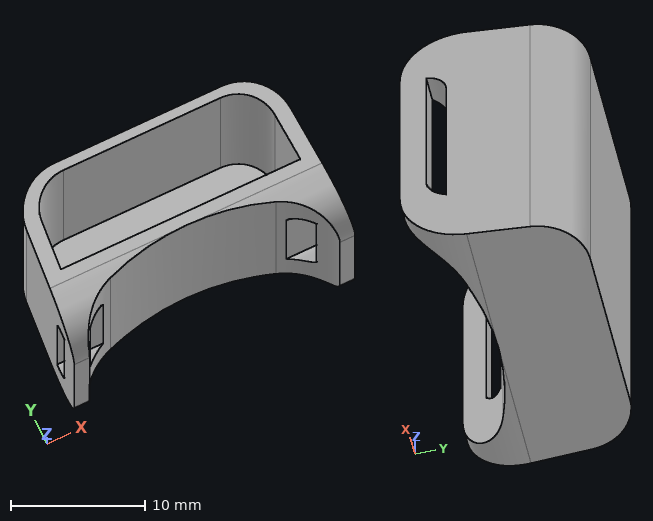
import cadquery as cq
import math

width = 23.1
depth = 13.5
height = 24.0
side_taper = math.tan(math.radians(4.0))
back_corner_radius = 4.0
front_corner_radius = 5.0

back_wall = 0.8
side_wall = 1.3
front_wall = 0.94
floor_thickness = 1.0
pocket_corner_radius = 3.12

arch_rise = front_corner_radius
arch_radius = 20.0
arch_half_span = 6.82
arch_half_opening = 10.3

slot_front = 2.0
slot_width = 1.5
slot_length = 14.02
slot_lower_arc_radius = 2.0


def half_width(y):
    """Half of the outer width at distance y from the front edge."""
    return width / 2 - y * side_taper


def tapered_block(front, back, inset, bottom, corner_radius):
    """Upright block following the tapered sides, with rounded back corners."""
    front_half = half_width(front) - inset
    back_half = half_width(back) - inset
    return (
        cq.Workplane("XY")
        .workplane(offset=bottom)
        .polyline([(-front_half, front), (front_half, front), (back_half, back), (-back_half, back)])
        .close()
        .extrude(height - bottom)
        .edges("|Z and >Y")
        .fillet(corner_radius)
    )


def make_body():
    body = tapered_block(0, depth, 0, 0, back_corner_radius)
    side_profile = (
        cq.Workplane("YZ")
        .rect(2 * depth, height)
        .extrude(width / 2, both=True)
        .translate((0, depth, height / 2))
        .edges("|X and <Y")
        .fillet(front_corner_radius)
    )
    return body.intersect(side_profile)


def make_arch():
    center_y = arch_rise - arch_radius
    join_y = center_y + math.sqrt(arch_radius**2 - arch_half_span**2)
    right_side = (
        cq.Workplane("XY")
        .moveTo(0, arch_rise)
        .radiusArc((arch_half_span, join_y), arch_radius)
        .tangentArcPoint((arch_half_opening, 0), relative=False)
        .lineTo(0, 0)
        .close()
        .extrude(height)
    )
    return right_side.union(right_side.mirror("YZ"))


def make_slots():
    """One straight cut through both legs, with an arc across each end."""
    back = slot_front + slot_width
    bottom = (height - slot_length) / 2
    top = bottom + slot_length
    bend = slot_width
    return (
        cq.Workplane("YZ")
        .moveTo(slot_front, top)
        .radiusArc((back, top - bend), bend)
        .lineTo(back, bottom)
        .radiusArc((slot_front, bottom + bend), slot_lower_arc_radius)
        .close()
        .extrude(width, both=True)
    )


pocket_front = arch_rise + front_wall
pocket = tapered_block(pocket_front, depth - back_wall, side_wall, floor_thickness, pocket_corner_radius)

result = make_body().cut(make_arch()).cut(make_slots()).cut(pocket)